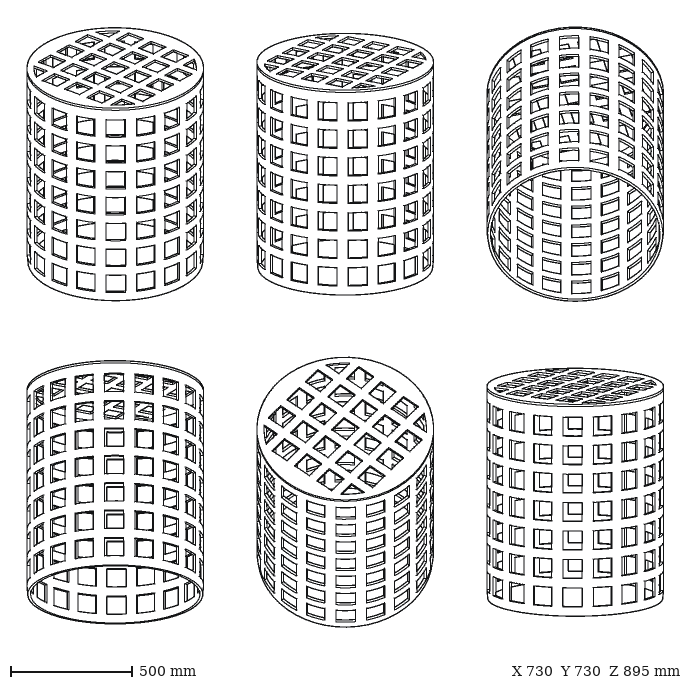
import cadquery as cq
import math

total_height = 895.0
outer_diameter = 730.0
inner_diameter = 706.0
plate_thickness = 10.0
outer_radius = outer_diameter / 2
inner_radius = inner_diameter / 2
wall_thickness = outer_radius - inner_radius
wall_top = total_height - plate_thickness

taper_angle = 5.0
bend_top = 43.0
bend_radius = 67.0

window_size = 80.0
bar_width = 40.0
window_pitch = window_size + bar_width

column_count = 18
row_count = 7
lowest_window_bottom = bar_width

grid_count = 5
grid_diameter = 670.0


def bend_point(radius, angle):
    """Point (r, z) on a bend arc, at an angle in degrees below the horizontal."""
    a = math.radians(angle)
    bend_center_r = outer_radius - bend_radius
    return (bend_center_r + radius * math.cos(a), bend_top - radius * math.sin(a))


def mouth_point(radius):
    """Point (r, 0) where the tapered line that leaves the bend arc reaches the bottom."""
    r, z = bend_point(radius, taper_angle)
    return (r - z * math.tan(math.radians(taper_angle)), 0)


def make_shell():
    """Plain wall, revolved from its half section: straight part, bend and tapered mouth."""
    inner_bend_radius = bend_radius - wall_thickness
    half_angle = taper_angle / 2
    return (
        cq.Workplane("XZ")
        .moveTo(outer_radius, wall_top)
        .lineTo(*bend_point(bend_radius, 0))
        .threePointArc(bend_point(bend_radius, half_angle), bend_point(bend_radius, taper_angle))
        .lineTo(*mouth_point(bend_radius))
        .lineTo(*mouth_point(inner_bend_radius))
        .lineTo(*bend_point(inner_bend_radius, taper_angle))
        .threePointArc(bend_point(inner_bend_radius, half_angle), bend_point(inner_bend_radius, 0))
        .lineTo(inner_radius, wall_top)
        .close()
        .revolve(360, (0, 0, 0), (0, 1, 0))
    )


def make_window_column():
    """Cutters for one column of windows, facing -Y; each passes through one side of the wall."""
    middle_height = lowest_window_bottom + window_size / 2 + (row_count - 1) / 2 * window_pitch
    return (
        cq.Workplane("XZ")
        .center(0, middle_height)
        .rarray(window_pitch, window_pitch, 1, row_count)
        .rect(window_size, window_size)
        .extrude(outer_diameter)
    )


def make_wall():
    column = make_window_column()
    cutters = []
    for i in range(column_count):
        turned = column.rotate((0, 0, 0), (0, 0, 1), i * 360 / column_count)
        cutters.extend(turned.vals())
    return make_shell().cut(cq.Workplane(cq.Compound.makeCompound(cutters)))


def make_plate():
    """Flat top plate with its square windows; the corner ones are trimmed by the grid circle."""
    base = cq.Workplane("XY", origin=(0, 0, wall_top))
    disc = base.circle(outer_radius).extrude(plate_thickness)
    grid_limit = base.circle(grid_diameter / 2).extrude(plate_thickness)
    windows = (
        base.rarray(window_pitch, window_pitch, grid_count, grid_count)
        .rect(window_size, window_size)
        .extrude(plate_thickness)
    )
    return disc.cut(windows.intersect(grid_limit))


wall = make_wall().solids()
plate = make_plate().solids()

result = cq.Compound.makeCompound([wall.val(), plate.val()])